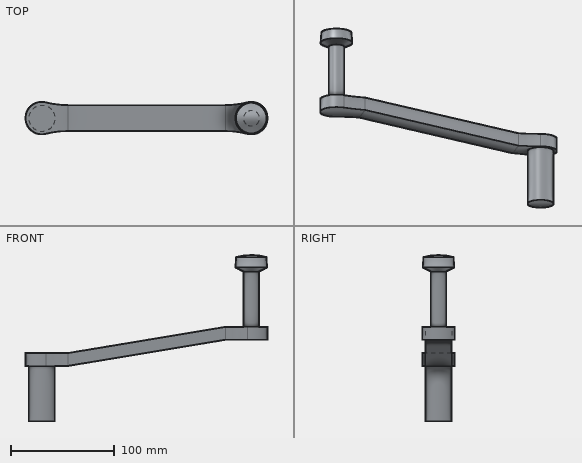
import cadquery as cq
import math

total_length = 234.8
total_height = 161.3

end_radius = 15.85
arm_width = 25.4
arm_thickness = 12.7
arm_rise = 25.4
end_length = 41.0

shaft_diameter = 25.4
shaft_length = 53.5

pin_diameter = 15.3
knob_height = 16.2
knob_cone_height = 4.0
knob_dome_height = 2.0
knob_bottom_radius = 15.5
knob_top_radius = 14.8

axis_spacing = total_length - 2 * end_radius
bend_distance = end_length - end_radius
lower_end_z = shaft_length
upper_end_z = lower_end_z + arm_rise
pin_start_z = upper_end_z + arm_thickness
knob_start_z = total_height - knob_height


def arm_end(center_x, base_z, inward):
    """Flat rounded end whose concave flanks run tangent into the arm.

    inward is +1 or -1, the X direction towards the middle of the arm.
    """
    half_width = arm_width / 2
    flank_radius = (bend_distance**2 + half_width**2 - end_radius**2) / (2 * (end_radius - half_width))
    flank_center_y = half_width + flank_radius
    flank_angle = math.atan2(flank_center_y, bend_distance)
    touch_x = end_radius * math.cos(flank_angle)
    touch_y = end_radius * math.sin(flank_angle)
    middle_angle = (flank_angle + math.pi / 2) / 2
    middle_x = bend_distance - flank_radius * math.cos(middle_angle)
    middle_y = flank_center_y - flank_radius * math.sin(middle_angle)

    def place(x, y):
        return (center_x + inward * x, y)

    return (
        cq.Workplane("XY", origin=(0, 0, base_z))
        .moveTo(*place(bend_distance, half_width))
        .threePointArc(place(middle_x, middle_y), place(touch_x, touch_y))
        .threePointArc(place(-end_radius, 0), place(touch_x, -touch_y))
        .threePointArc(place(middle_x, -middle_y), place(bend_distance, -half_width))
        .close()
        .extrude(arm_thickness)
    )


def sloped_arm():
    """Straight bar rising from the lower end to the upper end."""
    start_x = bend_distance
    finish_x = axis_spacing - bend_distance
    return (
        cq.Workplane("XZ")
        .polyline([
            (start_x, lower_end_z),
            (finish_x, upper_end_z),
            (finish_x, upper_end_z + arm_thickness),
            (start_x, lower_end_z + arm_thickness),
        ])
        .close()
        .extrude(arm_width / 2, both=True)
    )


def cylinder(center_x, base_z, diameter, length):
    """Upright cylinder standing on base_z."""
    return cq.Workplane("XY", origin=(center_x, 0, base_z)).circle(diameter / 2).extrude(length)


def knob():
    """Turned knob: conical underside, slightly tapered rim and shallow domed top."""
    rim_top = knob_height - knob_dome_height
    dome_radius = (knob_top_radius**2 + knob_dome_height**2) / (2 * knob_dome_height)
    dome_middle_x = knob_top_radius / 2
    dome_middle_z = knob_height - dome_radius + math.sqrt(dome_radius**2 - dome_middle_x**2)
    return (
        cq.Workplane("XZ", origin=(axis_spacing, 0, knob_start_z))
        .lineTo(pin_diameter / 2, 0)
        .lineTo(knob_bottom_radius, knob_cone_height)
        .lineTo(knob_top_radius, rim_top)
        .threePointArc((dome_middle_x, dome_middle_z), (0, knob_height))
        .close()
        .revolve(360, (0, 0), (0, 1))
    )


result = (
    sloped_arm()
    .union(arm_end(0, lower_end_z, 1))
    .union(arm_end(axis_spacing, upper_end_z, -1))
    .union(cylinder(0, 0, shaft_diameter, shaft_length))
    .union(cylinder(axis_spacing, pin_start_z, pin_diameter, knob_start_z - pin_start_z))
    .union(knob())
)